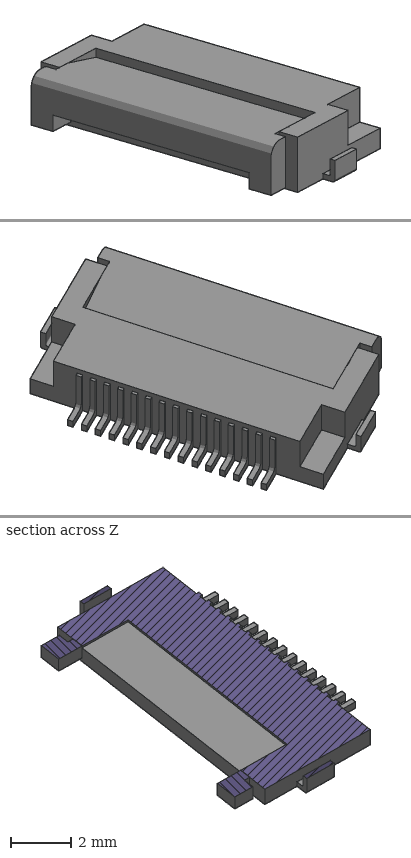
import cadquery as cq


overall_width = 11.6
overall_depth = 6.4
height = 2.0

lead_count = 15
lead_row_span = 7.0
lead_pitch = lead_row_span / (lead_count - 1)
lead_width = 0.2
lead_reach = 0.8
lead_height = 1.79
lead_stem_thickness = 0.1
lead_foot_thickness = 0.29
lead_bend_radius = 0.21

housing_width = 10.6
housing_depth = 4.59
housing_rear = overall_depth - lead_reach
housing_front = housing_rear - housing_depth
corner_step_width = 0.85
corner_step_depth = 1.79
corner_step_level = 0.74

bar_width = 9.91
bar_depth = 0.8
bar_round_radius = 0.5
leg_width = 0.9
leg_bottom = 0.15
tongue_width = 9.05
tongue_bottom = 0.74
tongue_rear = 3.02
ramp_drop = 0.32
tongue_rear_top = height - ramp_drop
ramp_front = 1.45

slot_width = bar_width - 2 * leg_width
slot_floor = 0.6

strap_length = 1.2
strap_thickness = 0.2
strap_tab_height = 0.8
strap_outer_radius = 0.1
strap_inner_radius = 0.07
strap_setback = 2.0
strap_rear = housing_rear - strap_setback


def block(width, y_front, y_rear, z_bottom, z_top):
    """Box centred on X between the given Y and Z limits."""
    return cq.Workplane("XY").box(
        width, y_rear - y_front, z_top - z_bottom, centered=(True, False, False)
    ).translate((0, y_front, z_bottom))


def make_lead(x_centre):
    """Solder lead: a stem on the rear wall of the housing with a foot on the board."""
    stem_rear = housing_rear + lead_stem_thickness
    profile = (
        cq.Workplane("YZ", origin=(x_centre, 0, 0))
        .moveTo(housing_rear, 0)
        .lineTo(overall_depth, 0)
        .lineTo(overall_depth, lead_foot_thickness)
        .lineTo(stem_rear + lead_bend_radius, lead_foot_thickness)
        .radiusArc((stem_rear, lead_foot_thickness + lead_bend_radius), lead_bend_radius)
        .lineTo(stem_rear, lead_height)
        .lineTo(housing_rear, lead_height)
        .close()
    )
    return profile.extrude(lead_width / 2, both=True)


def make_housing():
    """Housing with rear corner steps, slider pocket, cable slot and moulded-on leads."""
    body = block(housing_width, housing_front, housing_rear, 0, height)

    upper_rear = block(
        housing_width, housing_rear - corner_step_depth, housing_rear, corner_step_level, height
    )
    kept_middle = block(
        housing_width - 2 * corner_step_width,
        housing_rear - corner_step_depth, housing_rear, corner_step_level, height,
    )
    body = body.cut(upper_rear.cut(kept_middle))

    body = body.cut(block(tongue_width, housing_front, tongue_rear, tongue_bottom, height))
    body = body.cut(block(slot_width, housing_front, tongue_rear, slot_floor, tongue_bottom))

    body = body.cut(block(housing_width, strap_rear - strap_length, strap_rear, 0, strap_thickness))

    for index in range(lead_count):
        x_centre = (index - (lead_count - 1) / 2) * lead_pitch
        body = body.union(make_lead(x_centre))
    return body


def make_slider():
    """Slider: rounded front bar with two end legs and a ramped tongue."""
    bar = block(bar_width, 0, bar_depth, leg_bottom, height)
    bar = bar.edges("|X and >Z and <Y").fillet(bar_round_radius)

    neck = block(tongue_width, bar_depth, housing_front, leg_bottom, height)
    under_gap = block(slot_width, 0, housing_front, leg_bottom, tongue_bottom)

    tongue = (
        cq.Workplane("YZ")
        .moveTo(housing_front, tongue_bottom)
        .lineTo(tongue_rear, tongue_bottom)
        .lineTo(tongue_rear, tongue_rear_top)
        .lineTo(ramp_front, height)
        .lineTo(housing_front, height)
        .close()
        .extrude(tongue_width / 2, both=True)
    )
    return bar.union(neck).cut(under_gap).union(tongue)


def make_strap():
    """Hold-down strap: a flat strip under the housing with both ends bent up."""
    strap_front = strap_rear - strap_length
    inner_width = overall_width - 2 * strap_thickness
    outer = block(overall_width, strap_front, strap_rear, 0, strap_tab_height)
    outer = outer.edges("|Y and <Z").fillet(strap_outer_radius)
    inner = block(inner_width, strap_front, strap_rear, strap_thickness, strap_tab_height)
    inner = inner.edges("|Y and <Z").fillet(strap_inner_radius)
    return outer.cut(inner)


housing = make_housing()
slider = make_slider()
strap = make_strap()

result = cq.Compound.makeCompound([housing.val(), slider.val(), strap.val()])